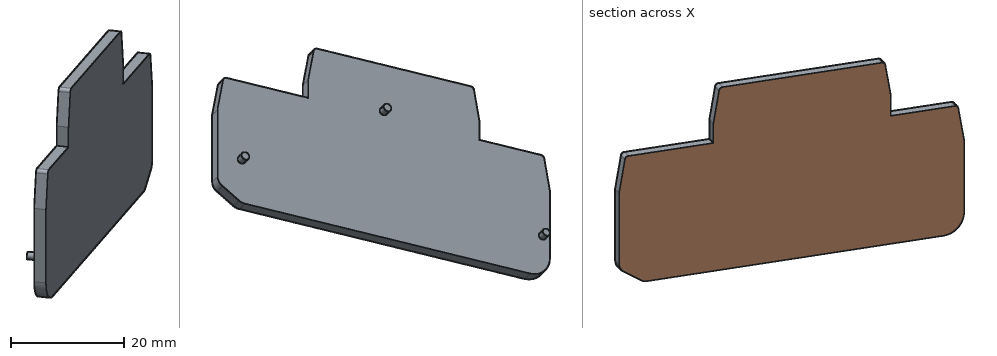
import cadquery as cq
import math

plate_thickness = 2.2
plate_width = 65.4
plate_height = 35.1

shoulder_height = 24.65
lower_taper_start = 17.8
upper_taper_start = 28.4
taper_angle = 10.0
tower_width = 33.7
tower_center_y = -2.0

top_corner_radius = 0.7
round_corner_radius = 4.0
bevel_width = 4.7
bevel_height = 3.1
bevel_blend_radius = 2.0

pin_length = 1.6
pins = [
    (28.0, 8.7, 1.5),
    (0.05, 25.6, 1.5),
    (-31.2, 8.2, 1.4),
]

left_y = plate_width / 2
right_y = -plate_width / 2
tower_left_y = tower_center_y + tower_width / 2
tower_right_y = tower_center_y - tower_width / 2
taper_slope = math.tan(math.radians(taper_angle))
lower_inset = (shoulder_height - lower_taper_start) * taper_slope
upper_inset = (plate_height - upper_taper_start) * taper_slope


def round_corners(body, corners, radius):
    """Fillet the edges along X that pass through the given (y, z) corners."""
    for y, z in corners:
        edge = cq.selectors.NearestToPointSelector((plate_thickness / 2, y, z))
        body = body.edges("|X").edges(edge).fillet(radius)
    return body


def make_plate():
    """Extrude the stepped outline and round its corners."""
    bevel_side = (left_y, bevel_height)
    bevel_bottom = (left_y - bevel_width, 0)
    round_corner = (right_y, 0)
    shoulder_right = (right_y + lower_inset, shoulder_height)
    tower_top_right = (tower_right_y + upper_inset, plate_height)
    tower_top_left = (tower_left_y - upper_inset, plate_height)
    shoulder_left = (left_y - lower_inset, shoulder_height)
    outline = [
        bevel_side,
        bevel_bottom,
        round_corner,
        (right_y, lower_taper_start),
        shoulder_right,
        (tower_right_y, shoulder_height),
        (tower_right_y, upper_taper_start),
        tower_top_right,
        tower_top_left,
        (tower_left_y, upper_taper_start),
        (tower_left_y, shoulder_height),
        shoulder_left,
        (left_y, lower_taper_start),
    ]
    body = cq.Workplane("YZ").polyline(outline).close().extrude(plate_thickness)
    top_corners = [shoulder_right, tower_top_right, tower_top_left, shoulder_left]
    body = round_corners(body, top_corners, top_corner_radius)
    body = round_corners(body, [round_corner], round_corner_radius)
    return round_corners(body, [bevel_side, bevel_bottom], bevel_blend_radius)


def make_pin(y, z, diameter):
    """Round pin standing on the -X face of the plate."""
    return cq.Workplane("YZ").center(y, z).circle(diameter / 2).extrude(-pin_length)


result = make_plate()
for pin_y, pin_z, pin_diameter in pins:
    result = result.union(make_pin(pin_y, pin_z, pin_diameter))